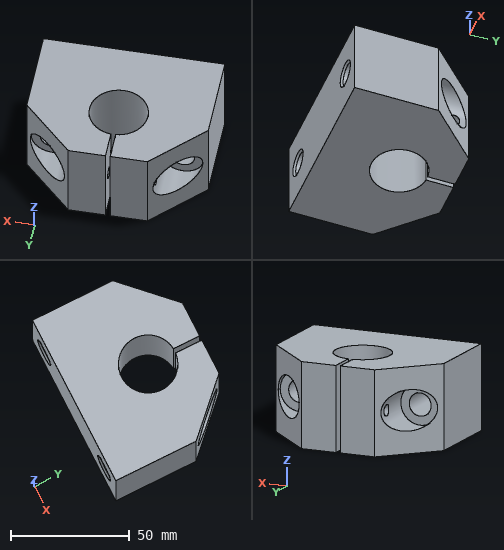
import cadquery as cq

width = 78.0
depth = 60.0
height = 38.0
corner_cut = 22.0

bore_diameter = 25.0
bore_from_front = 35.0
slot_width = 2.0

mount_diameter = 10.15
mount_mouth_diameter = 12.0
counterbore_diameter = 18.0

pinch_diameter = 4.9
pinch_from_back = 7.3

mount_x = width / 2 - corner_cut / 2
counterbore_depth = corner_cut
mouth_depth = (mount_mouth_diameter - mount_diameter) / 2
mid_height = height / 2


def cylinder_along_y(x, start_y, length, diameter):
    """Cylinder running toward +Y at mid height."""
    return cq.Workplane(
        cq.Solid.makeCylinder(
            diameter / 2, length, cq.Vector(x, start_y, mid_height), cq.Vector(0, 1, 0)
        )
    )


def mounting_hole(x):
    """Through hole with a countersunk front mouth and a counterbore at the back."""
    through = cylinder_along_y(x, 0, depth, mount_diameter)
    counterbore = cylinder_along_y(x, depth - counterbore_depth, counterbore_depth, counterbore_diameter)
    mouth = cq.Solid.makeCone(
        mount_mouth_diameter / 2,
        mount_diameter / 2,
        mouth_depth,
        cq.Vector(x, 0, mid_height),
        cq.Vector(0, 1, 0),
    )
    return through.union(counterbore).union(cq.Workplane(mouth))


block = (
    cq.Workplane("XY")
    .moveTo(-width / 2, 0)
    .lineTo(width / 2, 0)
    .lineTo(width / 2, depth - corner_cut)
    .lineTo(width / 2 - corner_cut, depth)
    .lineTo(-width / 2 + corner_cut, depth)
    .lineTo(-width / 2, depth - corner_cut)
    .close()
    .extrude(height)
)

bore = cq.Workplane("XY").center(0, bore_from_front).circle(bore_diameter / 2).extrude(height)
slot_length = depth - bore_from_front
slot = (
    cq.Workplane("XY")
    .center(0, bore_from_front + slot_length / 2)
    .rect(slot_width, slot_length)
    .extrude(height)
)

pinch_hole = (
    cq.Workplane("YZ")
    .center(depth - pinch_from_back, mid_height)
    .circle(pinch_diameter / 2)
    .extrude(width / 2, both=True)
)

result = block.cut(bore).cut(slot).cut(pinch_hole)
for side in (-1, 1):
    result = result.cut(mounting_hole(side * mount_x))